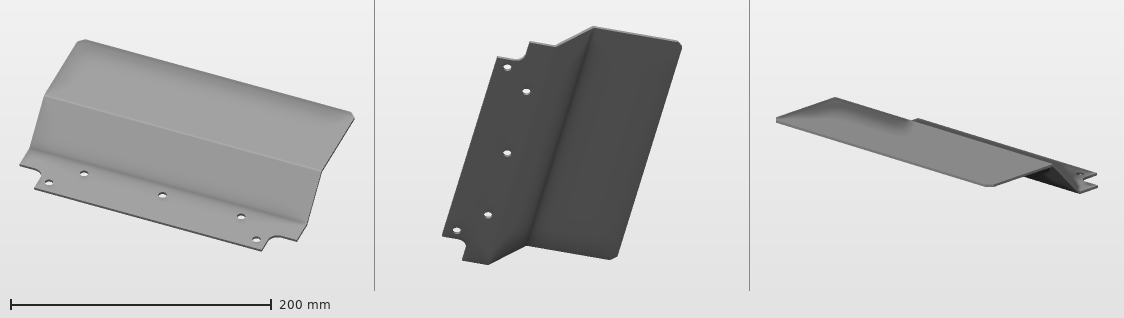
import cadquery as cq
import math

width = 230.0
depth = 142.0
height = 32.0
thickness = 2.0

foot_length = 40.5
bend_angle = 45.0
inner_bend_radius = 0.5
outer_bend_radius = inner_bend_radius + thickness

rear_chamfer = 4.8
notch_size = 20.7
notch_radius = 8.0

hole_diameter = 6.5
hole_row_spacing = 65.0
hole_row_y = 29.7
corner_hole_x = 86.0
corner_hole_y = 10.0


def bent_sheet():
    """Sheet profile in the YZ plane, extruded across the full width."""
    rise = height - thickness
    upper_bend_y = foot_length + rise / math.tan(math.radians(bend_angle))
    skin_shift = thickness * math.tan(math.radians(bend_angle / 2))
    profile = [
        (0, 0),
        (foot_length + skin_shift, 0),
        (upper_bend_y + skin_shift, rise),
        (depth, rise),
        (depth, height),
        (upper_bend_y, height),
        (foot_length, thickness),
        (0, thickness),
    ]
    sheet = cq.Workplane("YZ").polyline(profile).close().extrude(width / 2, both=True)

    def bend_edge(y, z):
        return cq.selectors.NearestToPointSelector((0, y, z))

    sheet = sheet.edges(bend_edge(foot_length, thickness)).fillet(inner_bend_radius)
    sheet = sheet.edges(bend_edge(upper_bend_y + skin_shift, rise)).fillet(inner_bend_radius)
    sheet = sheet.edges(bend_edge(foot_length + skin_shift, 0)).fillet(outer_bend_radius)
    return sheet.edges(bend_edge(upper_bend_y, height)).fillet(outer_bend_radius)


def chamfer_rear_corners(sheet):
    return sheet.edges("|Z and >Y").chamfer(rear_chamfer)


def front_notches():
    """Square cuts at both front corners, each with one rounded inside corner."""
    notches = cq.Workplane("XY")
    for side in (-1, 1):
        notch = (
            cq.Workplane("XY")
            .center(side * width / 2, 0)
            .rect(2 * notch_size, 2 * notch_size)
            .extrude(thickness)
            .edges("|Z")
            .fillet(notch_radius)
        )
        notches = notches.add(notch)
    return notches.combine()


def mounting_holes():
    centers = [(i * hole_row_spacing, hole_row_y) for i in (-1, 0, 1)]
    centers += [(side * corner_hole_x, corner_hole_y) for side in (-1, 1)]
    return cq.Workplane("XY").pushPoints(centers).circle(hole_diameter / 2).extrude(thickness)


result = chamfer_rear_corners(bent_sheet()).cut(front_notches()).cut(mounting_holes())